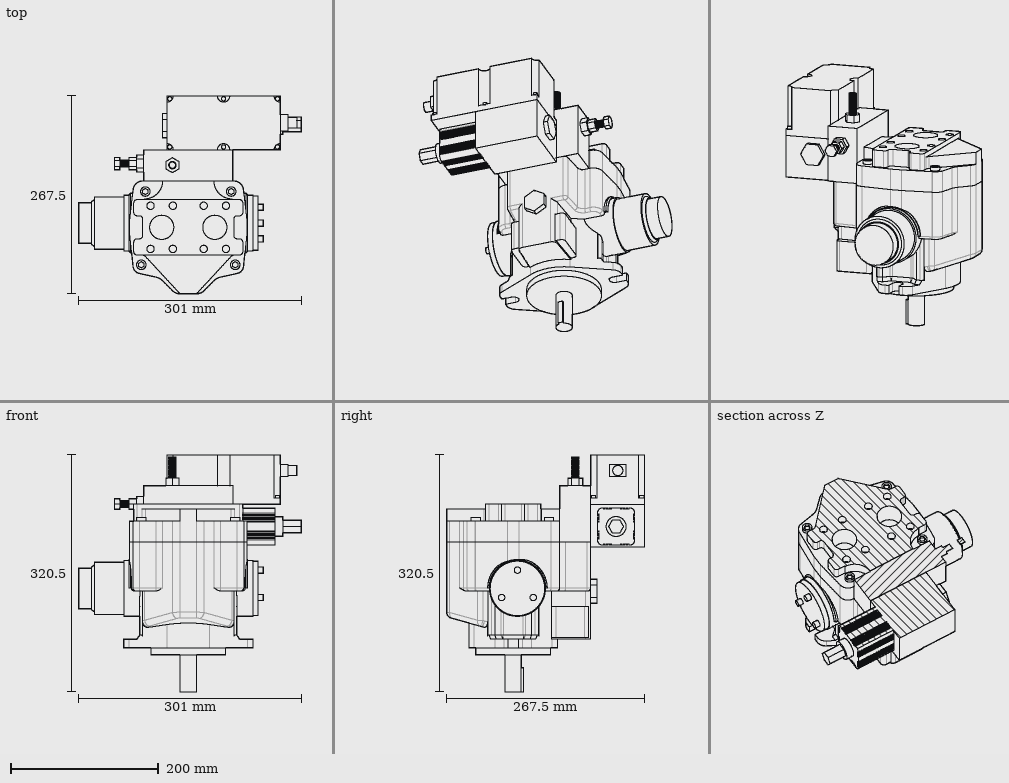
import cadquery as cq
import math


SHAFT_LENGTH = 50.3
PILOT_HEIGHT = 9.3
FLANGE_THICKNESS = 12.0
FLANGE_BOTTOM = SHAFT_LENGTH + PILOT_HEIGHT
FLANGE_TOP = FLANGE_BOTTOM + FLANGE_THICKNESS
EAR_BOTTOM = 136.5
COVER_BOTTOM = 202.5
COVER_TOP = 231.0
COVER_RIB_TOP = 247.5
PORT_PAD_TOP = 254.0
BOX_BOTTOM = 253.5
BOX_TOP = 320.5

SHAFT_DIAMETER = 22.5
KEY_WIDTH = 6.5
KEY_TOP_Y = 14.0
KEY_LENGTH = 33.0
PILOT_DIAMETER = 101.3
FLANGE_RADIUS = 60.0
FLANGE_HALF_LENGTH = 87.5
FLANGE_CORNER_RADIUS = 13.8
FLANGE_EDGE_ANGLE = 61.5
SLOT_WIDTH = 14.5
SLOT_END_X = 73.0
COLUMN_HALF_WIDTH = 62.0

BODY_FRONT_Y = -90.0
BODY_REAR_Y = 62.8
NECK_REAR_Y = 104.8
NOSE_CORNER_X = 17.0
NOSE_CORNER_RADIUS = 14.7
NOSE_HALF_FLAT = 11.0
WEB_HALF_WIDTH = 65.7
WEB_HALF_DEPTH = 34.0
WEB_CORNER_RADIUS = 4.5
POCKET_DEPTH = 9.5
POCKET_MOUTH_HALF = 24.7
POCKET_FLOOR_HALF = 15.5
POCKET_CORNER_RADIUS = 4.8
POCKET_TOP = 115.5
FOOT_WIDTH = 4.0
FOOT_HEIGHT = 5.5
NOSE_BOTTOM_FRONT = 101.5
NOSE_SLOPE_ANGLE = 15.5
NOSE_EDGE_RADIUS = 8.3
EAR_EDGE_RADIUS = 4.2
EAR_WALL_BOTTOM = EAR_BOTTOM + EAR_EDGE_RADIUS

CYLINDER_Y = 5.8
CYLINDER_Z = 140.0
FLARE_DIAMETER = 80.8
COLLAR_DIAMETER = 75.5
BARREL_DIAMETER = 71.0
CONE_DIAMETERS = (57.7, 63.5)
BARREL_END_DIAMETER = 55.0
CAP_DIAMETER = 73.7
COLLAR_HALF_LENGTH = 87.2
CAP_END_X = 94.5
BARREL_END_X = -127.0
CONE_END_X = -131.0
CYLINDER_END_X = -148.0
CAP_BOLT_DIAMETER = 8.5
CAP_BOLT_CIRCLE_RADIUS = 24.7
CAP_BOLT_END_X = 101.5

PAD_HALF_LENGTH = 73.7
PAD_HALF_WIDTH = 37.5
PAD_CORNER_RADIUS = 4.5
PAD_NOTCH_DEPTH = 12.2
PAD_NOTCH_WIDTH = 31.0
PORT_DIAMETER = 32.7
PORT_SPACING = 71.8
PORT_DEPTH = 38.5
TAPPED_DIAMETER = 10.0
TAPPED_DEPTH = 19.2
TAPPED_X = (20.8, 51.0)
TAPPED_Y = 29.2
DRILL_POINT_ANGLE = 118
SCALLOP_RADIUS = 24.5
SCALLOP_X = 59.0

SCREW_PLACES = ((-58.0, 48.5), (58.0, 48.5), (-63.5, -50.5), (63.5, -50.5))
SCREW_HEAD_DIAMETER = 12.8
SCREW_HEAD_HEIGHT = 4.8
SCREW_SOCKET_SIZE = 8.3
SCREW_SOCKET_DEPTH = 3.2

VALVE_HALF_LENGTH = 60.3
VALVE_REAR_Y = NECK_REAR_Y
VALVE_TOP = 278.8
THREAD_DIAMETER = 10.0
THREAD_PITCH = 1.5

SOLENOID_BOTTOM = 195.8
UNIT_LEFT_X = -29
UNIT_REAR_Y = 177.5
BOX_RIGHT_X = 124.5
BOX_LEDGE_TOP = 262.2
COIL_END_X = 117.3
SOLENOID_Y = 139.0
SOLENOID_Z = 223.7


def mirrored(shape):
    """The shape together with its mirror image across the plane X = 0."""
    return shape.union(shape.mirror("YZ"))


def bar_x(x0, x1, y, z, diameter):
    """Round bar along X from x0 to x1."""
    return cq.Workplane("YZ", origin=(x0, y, z)).circle(diameter / 2).extrude(x1 - x0)


def hex_x(x0, x1, y, z, across_corners):
    """Hexagonal bar along X with two corners on the Y direction."""
    return cq.Workplane("YZ", origin=(x0, y, z)).polygon(6, across_corners).extrude(x1 - x0)


def box_between(x0, x1, y0, y1, z0, z1):
    return cq.Workplane("XY").box(x1 - x0, y1 - y0, z1 - z0, centered=False).translate((x0, y0, z0))


def prism(points, z0, z1):
    return cq.Workplane("XY", origin=(0, 0, z0)).polyline(points).close().extrude(z1 - z0)


def threaded_rod(length):
    """Rod along Z whose thread is a row of ring grooves."""
    outer = THREAD_DIAMETER / 2
    root = outer - THREAD_PITCH / 2
    turns = round(length / THREAD_PITCH)
    pitch = length / turns
    points = [(0, 0), (outer, 0)]
    for turn in range(turns):
        points.append((root, (turn + 0.5) * pitch))
        points.append((outer, (turn + 1) * pitch))
    points.append((0, length))
    return cq.Workplane("XZ").polyline(points).close().revolve(360, (0, 0, 0), (0, 1, 0))


def flange_prism(z0, z1):
    """Two-bolt flange outline: a disc whose tangent edges run out to two lugs."""
    angle = math.radians(FLANGE_EDGE_ANGLE)
    tangent_x = FLANGE_RADIUS * math.cos(angle)
    tangent_y = FLANGE_RADIUS * math.sin(angle)
    lug_half = tangent_y - (FLANGE_HALF_LENGTH - tangent_x) / math.tan(angle)
    corners = [
        (-FLANGE_HALF_LENGTH, -lug_half),
        (-tangent_x, -tangent_y),
        (tangent_x, -tangent_y),
        (FLANGE_HALF_LENGTH, -lug_half),
        (FLANGE_HALF_LENGTH, lug_half),
        (tangent_x, tangent_y),
        (-tangent_x, tangent_y),
        (-FLANGE_HALF_LENGTH, lug_half),
    ]
    lugs = prism(corners, z0, z1).edges("|Z and (<X or >X)").fillet(FLANGE_CORNER_RADIUS)
    disc = cq.Workplane("XY", origin=(0, 0, z0)).circle(FLANGE_RADIUS).extrude(z1 - z0)
    return lugs.union(disc)


def body_prism(z0, z1):
    """Outline shared by the cover and the top of the housing: bulged sides, a nose at -Y."""
    right_half = [
        (NOSE_CORNER_X, BODY_FRONT_Y),
        (38.5, -68.5),
        (75.0, -60.5),
        (75.0, -50.5),
        (79.5, -8.0),
        (79.5, 8.0),
        (74.7, 51.3),
        (74.0, BODY_REAR_Y),
    ]
    left_half = [(-x, y) for x, y in reversed(right_half)]
    solid = prism(right_half + left_half, z0, z1)
    rear_corner_radius = 13.5
    front_corner_radius = 11.5
    hollow_radius = 18.0
    solid = solid.edges("|Z").edges(">Y").fillet(rear_corner_radius)
    for radius, (x, y) in (
        (front_corner_radius, right_half[2]),
        (hollow_radius, right_half[1]),
        (NOSE_CORNER_RADIUS, right_half[0]),
    ):
        for side in (-1, 1):
            solid = solid.edges(cq.NearestToPointSelector((side * x, y, (z0 + z1) / 2))).fillet(radius)
    return solid


def make_shaft_end():
    shaft = cq.Workplane("XY").circle(SHAFT_DIAMETER / 2).extrude(SHAFT_LENGTH)
    key = box_between(-KEY_WIDTH / 2, KEY_WIDTH / 2, 0, KEY_TOP_Y, 0, KEY_LENGTH)
    pilot = cq.Workplane("XY", origin=(0, 0, SHAFT_LENGTH)).circle(PILOT_DIAMETER / 2).extrude(PILOT_HEIGHT)
    return shaft.union(key).union(pilot)


def make_flange():
    flange = flange_prism(FLANGE_BOTTOM, FLANGE_TOP)
    slot_end = cq.Workplane("XY", origin=(SLOT_END_X, 0, FLANGE_BOTTOM))
    slot = slot_end.circle(SLOT_WIDTH / 2).extrude(FLANGE_THICKNESS)
    slot_half = SLOT_WIDTH / 2
    slot_mouth = box_between(
        SLOT_END_X, FLANGE_HALF_LENGTH, -slot_half, slot_half, FLANGE_BOTTOM, FLANGE_TOP
    )
    slot = slot.union(slot_mouth)
    return flange.cut(mirrored(slot))


def make_nose():
    """V-shaped front of the housing, its underside rising towards -Y."""
    side_y = BODY_FRONT_Y + COLUMN_HALF_WIDTH - NOSE_CORNER_X
    side_corner_radius = 10.0
    right_half = [
        (NOSE_CORNER_X, BODY_FRONT_Y),
        (COLUMN_HALF_WIDTH, side_y),
        (COLUMN_HALF_WIDTH, -WEB_HALF_DEPTH),
    ]
    outline = right_half + [(-x, y) for x, y in reversed(right_half)]
    nose = prism(outline, FLANGE_TOP, EAR_WALL_BOTTOM)
    middle_z = (FLANGE_TOP + EAR_WALL_BOTTOM) / 2
    for radius, (x, y) in ((NOSE_CORNER_RADIUS, right_half[0]), (side_corner_radius, right_half[1])):
        for side in (-1, 1):
            nose = nose.edges(cq.NearestToPointSelector((side * x, y, middle_z))).fillet(radius)
    depth = -WEB_HALF_DEPTH - BODY_FRONT_Y
    rear_z = NOSE_BOTTOM_FRONT - depth * math.tan(math.radians(NOSE_SLOPE_ANGLE))
    below = (
        cq.Workplane("YZ")
        .polyline([
            (BODY_FRONT_Y, FLANGE_TOP),
            (BODY_FRONT_Y, NOSE_BOTTOM_FRONT),
            (-WEB_HALF_DEPTH, rear_z),
            (-WEB_HALF_DEPTH, FLANGE_TOP),
        ])
        .close()
        .extrude(COLUMN_HALF_WIDTH, both=True)
    )
    nose = nose.cut(below)
    tilt = math.radians(NOSE_SLOPE_ANGLE)
    underside = nose.faces(cq.DirectionMinMaxSelector(cq.Vector(0, -math.sin(tilt), -math.cos(tilt))))
    return underside.edges("not >Y").fillet(NOSE_EDGE_RADIUS)


def pocketed_web_outline(side):
    """Plan outline of the side web, with a trapezoid pocket in its outer face."""
    outer = side * WEB_HALF_WIDTH
    floor = side * (WEB_HALF_WIDTH - POCKET_DEPTH)
    return [
        (0, -WEB_HALF_DEPTH),
        (outer, -WEB_HALF_DEPTH),
        (outer, -POCKET_MOUTH_HALF),
        (floor, -POCKET_FLOOR_HALF),
        (floor, POCKET_FLOOR_HALF),
        (outer, POCKET_MOUTH_HALF),
        (outer, WEB_HALF_DEPTH),
        (0, WEB_HALF_DEPTH),
    ]


def make_lower_body():
    """Column on the flange, with a pocketed web and a sloping foot on each side."""
    column = flange_prism(FLANGE_TOP, COVER_BOTTOM).intersect(
        box_between(
            -COLUMN_HALF_WIDTH, COLUMN_HALF_WIDTH, -FLANGE_RADIUS, FLANGE_RADIUS, FLANGE_TOP, COVER_BOTTOM
        )
    )
    web_block = box_between(
        -WEB_HALF_WIDTH, WEB_HALF_WIDTH, -WEB_HALF_DEPTH, WEB_HALF_DEPTH, FLANGE_TOP, COVER_BOTTOM
    )
    body = column.union(web_block.edges("|Z").fillet(WEB_CORNER_RADIUS))
    mouth_to_floor = pocketed_web_outline(1)[2:6]
    pocket = prism(mouth_to_floor, FLANGE_TOP, POCKET_TOP).edges("|Z and <X").fillet(POCKET_CORNER_RADIUS)
    body = body.cut(mirrored(pocket))
    foot_angle = math.degrees(math.atan(FOOT_WIDTH / FOOT_HEIGHT))
    for side in (-1, 1):
        foot = (
            cq.Workplane("XY", origin=(0, 0, FLANGE_TOP))
            .polyline(pocketed_web_outline(side))
            .close()
            .offset2D(FOOT_WIDTH, "intersection")
            .extrude(FOOT_HEIGHT, taper=foot_angle)
        )
        body = body.union(foot.intersect(flange_prism(FLANGE_TOP, FLANGE_TOP + FOOT_HEIGHT)))
    return body


def make_rear():
    """Neck under the valve block, with a narrower box, side pads and a hexagon plug below it."""
    neck_front = 46.8
    neck_back = 43.3
    root_x = 57.7
    root_radius = 8.3
    corner_radius = 5.5
    right_half = [(root_x, 0), (root_x, BODY_REAR_Y), (neck_front, BODY_REAR_Y), (neck_back, NECK_REAR_Y)]
    neck_outline = right_half + [(-x, y) for x, y in reversed(right_half)]
    neck = prism(neck_outline, EAR_BOTTOM, COVER_BOTTOM).edges("|Z and >Y").fillet(corner_radius)
    middle_z = (EAR_BOTTOM + COVER_BOTTOM) / 2
    for side in (-1, 1):
        root = (side * neck_front, BODY_REAR_Y, middle_z)
        neck = neck.edges(cq.NearestToPointSelector(root)).fillet(root_radius)
    neck = neck.faces("<Z").edges().fillet(EAR_EDGE_RADIUS)
    box_front = 32
    box_back = 27.2
    box_corner_radius = 7.5
    box_outline = [(-box_front, 0), (box_front, 0), (box_back, NECK_REAR_Y), (-box_back, NECK_REAR_Y)]
    box = prism(box_outline, FLANGE_TOP, EAR_WALL_BOTTOM).edges("|Z and >Y").fillet(box_corner_radius)
    pad_half = 39.0
    pad_front_y, pad_rear_y = 52.0, 102.0
    pad_bottom, pad_top = 73.7, 115.7
    pad_edge_radius = 5.8
    pad = box_between(-pad_half, pad_half, pad_front_y, pad_rear_y, pad_bottom, pad_top)
    pad = pad.edges("|Z").fillet(pad_edge_radius)
    plug_corners = 32.7
    plug_y = 113.5
    plug_z = 136.2
    plug = (
        cq.Workplane("XZ", origin=(0, plug_y, plug_z))
        .transformed(rotate=(0, 0, 90))
        .polygon(6, plug_corners)
        .extrude(plug_y - NECK_REAR_Y)
    )
    return neck.union(box).union(pad).union(plug)


def make_control_cylinder():
    """Cylinder across the housing: a stepped barrel on -X, a bolted end cap on +X."""
    steps = [
        (CYLINDER_END_X, BARREL_END_DIAMETER),
        (CONE_END_X, BARREL_END_DIAMETER),
        (CONE_END_X, CONE_DIAMETERS[0]),
        (BARREL_END_X, CONE_DIAMETERS[1]),
        (BARREL_END_X, BARREL_DIAMETER),
        (-COLLAR_HALF_LENGTH, BARREL_DIAMETER),
        (-COLLAR_HALF_LENGTH, COLLAR_DIAMETER),
        (COLLAR_HALF_LENGTH, COLLAR_DIAMETER),
        (COLLAR_HALF_LENGTH, CAP_DIAMETER),
        (CAP_END_X, CAP_DIAMETER),
    ]
    profile = [(CYLINDER_END_X, 0)] + [(x, diameter / 2) for x, diameter in steps] + [(CAP_END_X, 0)]
    cylinder = cq.Workplane("XZ").polyline(profile).close().revolve(360, (0, 0, 0), (1, 0, 0))
    cylinder = cylinder.translate((0, CYLINDER_Y, CYLINDER_Z))
    for angle in (90, 210, 330):
        turn = math.radians(angle)
        bolt_y = CYLINDER_Y + CAP_BOLT_CIRCLE_RADIUS * math.cos(turn)
        bolt_z = CYLINDER_Z + CAP_BOLT_CIRCLE_RADIUS * math.sin(turn)
        cylinder = cylinder.union(bar_x(CAP_END_X, CAP_BOLT_END_X, bolt_y, bolt_z, CAP_BOLT_DIAMETER))
    return cylinder


def make_flares():
    """Rings where the control cylinder enters the upper part of the housing."""
    half_length = 80
    edge_chamfer = 2.0
    ring = bar_x(0, half_length, CYLINDER_Y, CYLINDER_Z, FLARE_DIAMETER).faces(">X").chamfer(edge_chamfer)
    upper = box_between(
        0, half_length, -FLARE_DIAMETER, FLARE_DIAMETER, EAR_WALL_BOTTOM, COVER_BOTTOM
    )
    return mirrored(ring.intersect(upper))


def make_housing():
    upper = body_prism(EAR_BOTTOM, COVER_BOTTOM).faces("<Z").edges().fillet(EAR_EDGE_RADIUS)
    housing = make_lower_body()
    for feature in (
        make_flange(),
        make_shaft_end(),
        upper,
        make_nose(),
        make_rear(),
        make_control_cylinder(),
        make_flares(),
    ):
        housing = housing.union(feature)
    return housing


def make_port_pad():
    pad = box_between(
        -PAD_HALF_LENGTH, PAD_HALF_LENGTH, -PAD_HALF_WIDTH, PAD_HALF_WIDTH, COVER_TOP, PORT_PAD_TOP
    )
    notch = box_between(
        PAD_HALF_LENGTH - PAD_NOTCH_DEPTH,
        PAD_HALF_LENGTH,
        -PAD_NOTCH_WIDTH / 2,
        PAD_NOTCH_WIDTH / 2,
        COVER_TOP,
        PORT_PAD_TOP,
    )
    return pad.cut(mirrored(notch)).edges("|Z").fillet(PAD_CORNER_RADIUS)


def make_cover_ribs():
    """Wedge running to the nose, and a raised rear land scalloped around the screws."""
    wedge_half = 59.5
    root_half = 67.3
    root_radius = 6.5
    right_half = [
        (NOSE_HALF_FLAT, BODY_FRONT_Y),
        (wedge_half, -PAD_HALF_WIDTH),
        (root_half, -PAD_HALF_WIDTH),
        (root_half, -PAD_NOTCH_WIDTH),
    ]
    wedge = prism(right_half + [(-x, y) for x, y in reversed(right_half)], COVER_TOP, COVER_RIB_TOP)
    middle_z = (COVER_TOP + COVER_RIB_TOP) / 2
    for side in (-1, 1):
        root = (side * wedge_half, -PAD_HALF_WIDTH, middle_z)
        wedge = wedge.edges(cq.NearestToPointSelector(root)).fillet(root_radius)
    land = box_between(-SCALLOP_X, SCALLOP_X, 0, BODY_REAR_Y, COVER_TOP, COVER_RIB_TOP)
    scallops = (
        cq.Workplane("XY", origin=(0, 0, COVER_TOP))
        .pushPoints([(-SCALLOP_X, BODY_REAR_Y), (SCALLOP_X, BODY_REAR_Y)])
        .circle(SCALLOP_RADIUS)
        .extrude(COVER_RIB_TOP - COVER_TOP)
    )
    return wedge.union(land.cut(scallops))


def make_tapped_hole():
    radius = TAPPED_DIAMETER / 2
    point_height = radius / math.tan(math.radians(DRILL_POINT_ANGLE / 2))
    return (
        cq.Workplane("XZ")
        .polyline([(0, 0), (radius, 0), (radius, -TAPPED_DEPTH), (0, -TAPPED_DEPTH - point_height)])
        .close()
        .revolve(360, (0, 0, 0), (0, 1, 0))
    )


def make_cover():
    cover = body_prism(COVER_BOTTOM, COVER_TOP).union(make_port_pad()).union(make_cover_ribs())
    ports = (
        cq.Workplane("XY", origin=(0, 0, PORT_PAD_TOP))
        .pushPoints([(-PORT_SPACING / 2, 0), (PORT_SPACING / 2, 0)])
        .circle(PORT_DIAMETER / 2)
        .extrude(-PORT_DEPTH)
    )
    cover = cover.cut(ports)
    for x in TAPPED_X:
        for hole_x in (-x, x):
            for hole_y in (-TAPPED_Y, TAPPED_Y):
                cover = cover.cut(make_tapped_hole().translate((hole_x, hole_y, PORT_PAD_TOP)))
    return cover


def make_screw(x, y):
    head = cq.Workplane("XY", origin=(x, y, COVER_TOP))
    head = head.circle(SCREW_HEAD_DIAMETER / 2).extrude(SCREW_HEAD_HEIGHT)
    socket = (
        cq.Workplane("XY", origin=(x, y, COVER_TOP + SCREW_HEAD_HEIGHT))
        .transformed(rotate=(0, 0, 90))
        .polygon(6, SCREW_SOCKET_SIZE)
        .extrude(-SCREW_SOCKET_DEPTH)
    )
    return head.cut(socket)


def make_top_adjuster():
    x, y = -21.5, 84.0
    nut_corners = 20.2
    nut_height = 10.3
    rod_length = 38.8
    nut = (
        cq.Workplane("XY", origin=(x, y, VALVE_TOP))
        .transformed(rotate=(0, 0, 90))
        .polygon(6, nut_corners)
        .extrude(nut_height)
    )
    return nut.union(threaded_rod(rod_length).translate((x, y, VALVE_TOP)))


def make_side_adjuster():
    y, z = 86.2, 254.0
    fitting_corners = 23.5
    nut_corners = 17.0
    fitting_end = -70.0
    nut_end = -80
    rod_end = -92.3
    head_end = -100.0
    adjuster = hex_x(fitting_end, -VALVE_HALF_LENGTH, y, z, fitting_corners)
    adjuster = adjuster.union(hex_x(nut_end, fitting_end, y, z, nut_corners))
    adjuster = adjuster.union(hex_x(head_end, rod_end, y, z, nut_corners))
    rod = threaded_rod(nut_end - rod_end).rotate((0, 0, 0), (0, 1, 0), 90)
    return adjuster.union(rod.translate((rod_end, y, z)))


def make_valve_block():
    block = box_between(
        -VALVE_HALF_LENGTH, VALVE_HALF_LENGTH, BODY_REAR_Y, VALVE_REAR_Y, COVER_BOTTOM, VALVE_TOP
    )
    return block.union(make_top_adjuster()).union(make_side_adjuster())


def make_coil():
    """Square coil with rounded edges and two groups of axial grooves on each side."""
    start_x, end_x = VALVE_HALF_LENGTH, COIL_END_X
    half_size = 25.0
    edge_radius = 6.5
    groove_width = 1.5
    groove_depth = 1.5
    coil = box_between(
        start_x,
        end_x,
        SOLENOID_Y - half_size,
        SOLENOID_Y + half_size,
        SOLENOID_Z - half_size,
        SOLENOID_Z + half_size,
    )
    coil = coil.edges("|X").fillet(edge_radius)
    axis_start = (0, SOLENOID_Y, SOLENOID_Z)
    axis_end = (1, SOLENOID_Y, SOLENOID_Z)
    groove_distances = (6.7, 10.0, 13.0, 16.5)
    for distance in groove_distances:
        for offset in (-distance, distance):
            groove_z = SOLENOID_Z + offset
            groove = box_between(
                start_x,
                end_x,
                SOLENOID_Y - half_size,
                SOLENOID_Y - half_size + groove_depth,
                groove_z - groove_width / 2,
                groove_z + groove_width / 2,
            )
            for angle in (0, 90, 180, 270):
                coil = coil.cut(groove.rotate(axis_start, axis_end, angle))
    return coil


def make_solenoid_valve():
    body = box_between(
        UNIT_LEFT_X, VALVE_HALF_LENGTH, VALVE_REAR_Y, UNIT_REAR_Y, SOLENOID_BOTTOM, BOX_BOTTOM
    )
    plug_end_x = -35.0
    plug_y, plug_z = 137.5, 231.0
    plug_corners = 33.0
    plug = hex_x(plug_end_x, UNIT_LEFT_X, plug_y, plug_z, plug_corners)
    ring_end_x = 128.0
    ring_diameter = 27.0
    ring = bar_x(COIL_END_X, ring_end_x, SOLENOID_Y, SOLENOID_Z, ring_diameter)
    nut_end_x = 153.0
    nut_corners = 20.2
    nut = hex_x(ring_end_x, nut_end_x, SOLENOID_Y, SOLENOID_Z, nut_corners)
    return body.union(plug).union(make_coil()).union(ring).union(nut)


def make_control_box():
    notch_radius = 8.3
    screw_diameter = 5.8
    screw_height = 3.5
    screw_inset = 4.0
    connector_y, connector_z = 141.5, 299.5
    socket_end_x = 135.0
    socket_width = 22.5
    socket_height = 16.7
    plug_end_x = 146.8
    plug_diameter = 13.8
    box = box_between(UNIT_LEFT_X, BOX_RIGHT_X, VALVE_REAR_Y, UNIT_REAR_Y, BOX_BOTTOM, BOX_TOP)
    middle_x = (UNIT_LEFT_X + BOX_RIGHT_X) / 2
    for x, inset_x in ((UNIT_LEFT_X, screw_inset), (middle_x, 0), (BOX_RIGHT_X, -screw_inset)):
        for y, inset_y in ((VALVE_REAR_Y, screw_inset), (UNIT_REAR_Y, -screw_inset)):
            ledge = cq.Workplane("XY", origin=(0, 0, BOX_LEDGE_TOP))
            box = box.cut(ledge.center(x, y).circle(notch_radius).extrude(BOX_TOP - BOX_LEDGE_TOP))
            screw_place = ledge.center(x + inset_x, y + inset_y)
            box = box.union(screw_place.circle(screw_diameter / 2).extrude(screw_height))
    socket = box_between(
        BOX_RIGHT_X,
        socket_end_x,
        connector_y - socket_width / 2,
        connector_y + socket_width / 2,
        connector_z - socket_height / 2,
        connector_z + socket_height / 2,
    )
    return box.union(socket).union(bar_x(socket_end_x, plug_end_x, connector_y, connector_z, plug_diameter))


housing = make_housing()
cover = make_cover()
screws = [make_screw(x, y) for x, y in SCREW_PLACES]
valve_block = make_valve_block()
solenoid_valve = make_solenoid_valve()
control_box = make_control_box()

result = cq.Compound.makeCompound([
    housing.val(),
    cover.val(),
    *[screw.val() for screw in screws],
    valve_block.val(),
    solenoid_valve.val(),
    control_box.val(),
])